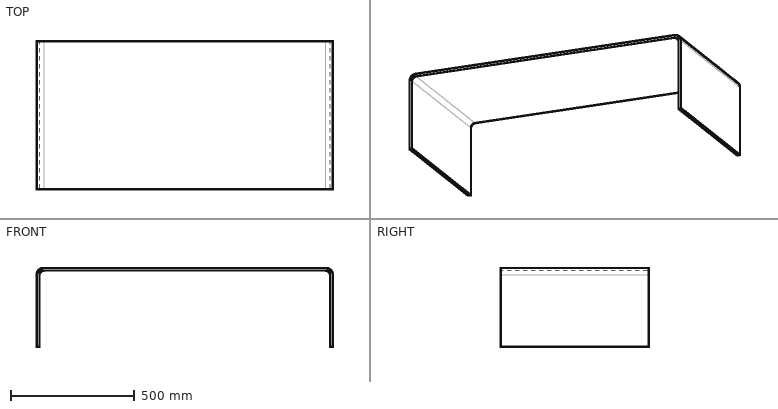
import cadquery as cq

length = 1200.0
width = 600.0
height = 320.0

thickness = 12.0
inner_bend_radius = 18.0
outer_bend_radius = inner_bend_radius + thickness


def rounded_block(block_length, block_height, bend_radius):
    """Full-width block standing on Z = 0 with its two long top edges rounded."""
    return (
        cq.Workplane("XY")
        .box(block_length, width, block_height, centered=(True, True, False))
        .edges("|Y and >Z")
        .fillet(bend_radius)
    )


outside = rounded_block(length, height, outer_bend_radius)
inside = rounded_block(length - 2 * thickness, height - thickness, inner_bend_radius)

result = outside.cut(inside)